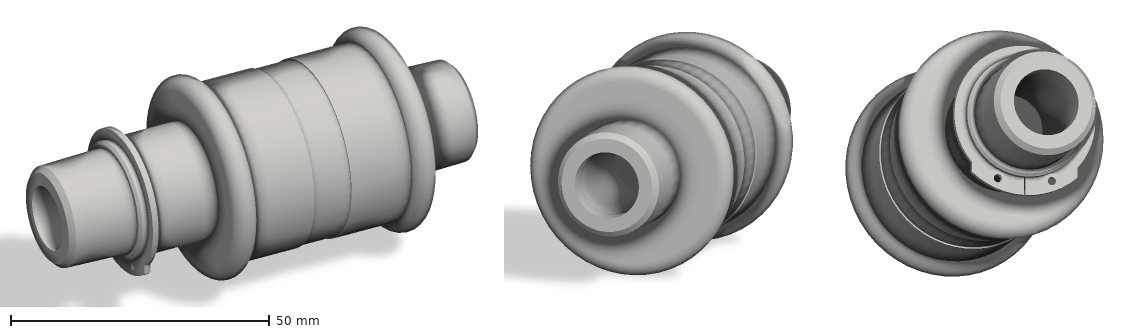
import cadquery as cq
import math

total_length = 89.0
spigot_length = 14.1

spigot_root_radius = 10.6
spigot_tip_radius = 10.2
spigot_chamfer = 1.1
bore_diameter = 13.0
bore_depth = 26.7

neck_diameter = 23.8
neck_length = 16.9
neck_chamfer = 0.5
groove_diameter = 22.9
groove_width = 1.5
groove_start = 15.75

body_start = spigot_length + neck_length
body_end = total_length - spigot_length
body_diameter = 36.05
bead_width = 5.0
waist_diameter = 35.4
waist_width = 8.0

ring_diameter = 28.3
ring_thickness = 1.25
lug_half_width = 10.6
lug_arc_diameter = 32.0
lug_arc_center_z = 0.7
plier_hole_diameter = 1.6
plier_hole_x = 5.4
plier_hole_z = -12.3
ring_gap = 0.3


def cylinder(start, length, diameter):
    """Solid cylinder along +Y from the given Y position."""
    plane = cq.Workplane("XZ", origin=(0, start, 0))
    return plane.circle(diameter / 2).extrude(-length)


def front_spigot():
    """Tapered spigot with its tip at Y = 0."""
    profile = [
        (0, 0),
        (spigot_tip_radius - spigot_chamfer, 0),
        (spigot_tip_radius, spigot_chamfer),
        (spigot_root_radius, spigot_length),
        (0, spigot_length),
    ]
    return cq.Workplane("XY").polyline(profile).close().revolve(360, (0, 0), (0, 1))


def mirrored_to_back(shape):
    """Copy of a front feature, mirrored to the back end."""
    return shape.mirror("XZ", (0, total_length / 2, 0))


def neck():
    """Neck with a chamfered front edge and the retaining ring groove."""
    shaft = cylinder(spigot_length, neck_length, neck_diameter)
    shaft = shaft.faces("<Y").chamfer(neck_chamfer)
    groove = cylinder(groove_start, groove_width, neck_diameter)
    groove = groove.cut(cylinder(groove_start, groove_width, groove_diameter))
    return shaft.cut(groove)


def body():
    """Cylinder with half-round end beads and a central waist."""
    body_length = body_end - body_start
    body_radius = body_diameter / 2
    bead_radius = bead_width / 2
    waist_start = body_start + (body_length - waist_width) / 2
    waist_end = waist_start + waist_width
    front_bead_end = body_start + bead_width
    back_bead_start = body_end - bead_width
    bead_crest = body_radius + bead_radius
    profile = (
        cq.Workplane("XY")
        .moveTo(0, body_start)
        .lineTo(body_radius, body_start)
        .threePointArc((bead_crest, body_start + bead_radius), (body_radius, front_bead_end))
        .lineTo(body_radius, waist_start)
        .lineTo(waist_diameter / 2, waist_start)
        .lineTo(waist_diameter / 2, waist_end)
        .lineTo(body_radius, waist_end)
        .lineTo(body_radius, back_bead_start)
        .threePointArc((bead_crest, body_end - bead_radius), (body_radius, body_end))
        .lineTo(0, body_end)
        .close()
    )
    return profile.revolve(360, (0, 0), (0, 1))


def retaining_ring():
    """Snap ring seated against the front wall of its groove."""
    plane = cq.Workplane("XZ", origin=(0, groove_start, 0))
    lug_radius = lug_arc_diameter / 2
    lug_top = -math.sqrt((ring_diameter / 2) ** 2 - lug_half_width**2)
    lug_corner = lug_arc_center_z - math.sqrt(lug_radius**2 - lug_half_width**2)
    lug = (
        plane.moveTo(-lug_half_width, lug_top)
        .lineTo(-lug_half_width, lug_corner)
        .threePointArc((0, lug_arc_center_z - lug_radius), (lug_half_width, lug_corner))
        .lineTo(lug_half_width, lug_top)
        .close()
        .extrude(-ring_thickness)
    )
    plier_holes = (
        plane.pushPoints([(-plier_hole_x, plier_hole_z), (plier_hole_x, plier_hole_z)])
        .circle(plier_hole_diameter / 2)
        .extrude(-ring_thickness)
    )
    gap = (
        plane.center(0, -lug_radius / 2)
        .rect(ring_gap, lug_radius)
        .extrude(-ring_thickness)
    )
    ring = cylinder(groove_start, ring_thickness, ring_diameter).union(lug)
    ring = ring.cut(plier_holes).cut(gap)
    return ring.cut(cylinder(groove_start, ring_thickness, groove_diameter))


spigot = front_spigot()
bore = cylinder(0, bore_depth, bore_diameter)

result = body().union(neck()).union(spigot).union(mirrored_to_back(spigot))
result = result.union(retaining_ring())
result = result.cut(bore).cut(mirrored_to_back(bore))